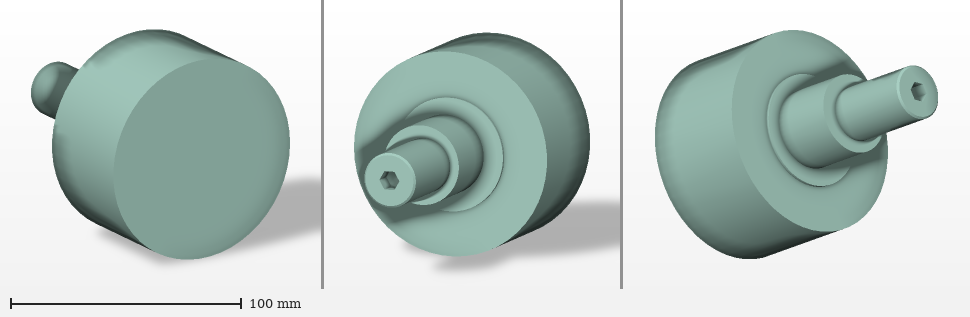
import cadquery as cq
import math

total_length = 122.0
roller_diameter = 90.0
roller_width = 50.5
flange_diameter = 50.0
flange_thickness = 1.5
collar_diameter = 35.0
collar_length = 29.0
collar_offset = 1.5
stud_diameter = 24.0
stud_chamfer = 0.9
socket_across_flats = 8.0
socket_depth = 8.0
drill_point_angle = 120.0

roller_start = total_length - roller_width
flange_start = roller_start - flange_thickness
collar_start = flange_start - collar_length


def cylinder(diameter, start, length, y_offset=0.0):
    """Solid cylinder along +X beginning at the given station."""
    plane = cq.Workplane("YZ", origin=(start, y_offset, 0))
    return plane.circle(diameter / 2).extrude(length)


def hex_socket():
    """Hexagonal key socket, corners on the Y axis, with a conical bottom touching its flats."""
    across_corners = socket_across_flats / math.cos(math.pi / 6)
    hexagon = cq.Workplane("YZ").polygon(6, across_corners).extrude(socket_depth)
    cone_radius = socket_across_flats / 2
    cone_height = cone_radius / math.tan(math.radians(drill_point_angle / 2))
    cone = cq.Solid.makeCone(
        cone_radius, 0, cone_height, cq.Vector(socket_depth, 0, 0), cq.Vector(1, 0, 0)
    )
    return hexagon.union(cq.Workplane(cone))


stud = cylinder(stud_diameter, 0, collar_start).faces("<X").chamfer(stud_chamfer)
collar = cylinder(collar_diameter, collar_start, collar_length, collar_offset)
flange = cylinder(flange_diameter, flange_start, flange_thickness)
roller = cylinder(roller_diameter, roller_start, roller_width)

result = roller.union(flange).union(collar).union(stud).cut(hex_socket())